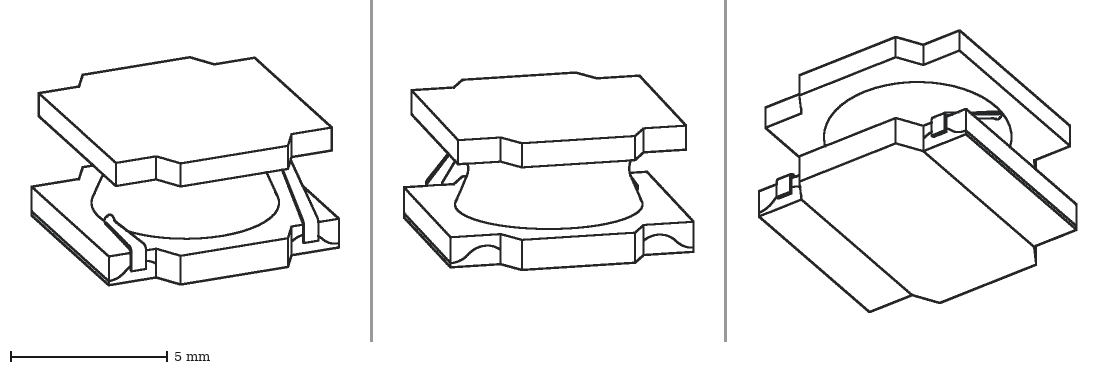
import cadquery as cq
import math

LENGTH = 8.0
LOWER_DEPTH = 8.0
UPPER_DEPTH = 7.5
HEIGHT = 4.2
LOWER_THICKNESS = 1.0
UPPER_THICKNESS = 0.8
HUB_DIAMETER = 4.0
END_WIDTH = 6.3
NOTCH_Y = 2.35
NOTCH_ANGLE = 30.0

WINDOW_BOTTOM = LOWER_THICKNESS
WINDOW_TOP = HEIGHT - UPPER_THICKNESS
WINDOW_MIDDLE = (WINDOW_BOTTOM + WINDOW_TOP) / 2
END_HALF = END_WIDTH / 2

COIL_DIAMETER = 4.8
RESIN_RIM_DIAMETER = 6.0
RESIN_SEAM_DIAMETER = 5.31
RESIN_WAIST_DIAMETER = 5.16
WAIST_HEIGHT = 0.76

PAD_EDGE_HEIGHT = 0.14
PAD_PEAK_HEIGHT = 0.65
PAD_PEAK_Y = 2.84

TAIL_Y = 2.99
WIRE_WIDTH = 0.32
WIRE_THICKNESS = 0.22
STRIP_WIDTH = 0.5
STRIP_THICKNESS = 0.1
STRIP_END_Z = 0.4
FOLD_INNER_RADIUS = 0.1
FRONT_ROOT_X = 0.92
BACK_ROOT_X = 0.0
ROOT_BEND_RADIUS = 0.4
ROOT_LEAD = 0.4
BACK_ROOT_Z = 3.06

FOLD_RADIUS = FOLD_INNER_RADIUS + STRIP_THICKNESS / 2
FOLD_X = END_HALF - FOLD_INNER_RADIUS
FRONT_ROOT_Z = LOWER_THICKNESS + FOLD_RADIUS


def make_flange(depth, bottom, thickness):
    """Plate with a notch with one sloping side at each corner."""
    half_length = LENGTH / 2
    half_depth = depth / 2
    slope_drop = (half_length - END_HALF) * math.tan(math.radians(NOTCH_ANGLE))
    wing_y = NOTCH_Y - slope_drop
    quarter = [(END_HALF, half_depth), (END_HALF, NOTCH_Y), (half_length, wing_y)]
    right = quarter + [(x, -y) for x, y in reversed(quarter)]
    left = [(-x, -y) for x, y in right]
    return cq.Workplane("XY", origin=(0, 0, bottom)).polyline(right + left).close().extrude(thickness)


def make_ring_blank(diameter):
    """Disc that fills the height of the winding window."""
    height = WINDOW_TOP - WINDOW_BOTTOM
    return cq.Workplane("XY", origin=(0, 0, WINDOW_BOTTOM)).circle(diameter / 2).extrude(height)


def make_terminal(side):
    """Pad under the lower flange on the side (+1 or -1) along Y."""
    edge_y = LOWER_DEPTH / 2
    rise = PAD_PEAK_HEIGHT - PAD_EDGE_HEIGHT
    run = edge_y - PAD_PEAK_Y
    radius = (run ** 2 + rise ** 2) / (4 * rise)
    half_sweep = math.asin(run / 2 / radius) / 2
    step_y = radius * math.sin(half_sweep)
    step_z = radius * (1 - math.cos(half_sweep))
    inner_z = PAD_PEAK_HEIGHT - radius + math.sqrt(radius ** 2 - (PAD_PEAK_Y - NOTCH_Y) ** 2)

    def point(y, z):
        return (side * y, z)

    return (
        cq.Workplane("YZ", origin=(-END_HALF, 0, 0))
        .moveTo(*point(NOTCH_Y, 0))
        .lineTo(*point(edge_y, 0))
        .lineTo(*point(edge_y, PAD_EDGE_HEIGHT))
        .threePointArc(
            point(edge_y - step_y, PAD_EDGE_HEIGHT + step_z),
            point(edge_y - run / 2, PAD_EDGE_HEIGHT + rise / 2),
        )
        .threePointArc(
            point(PAD_PEAK_Y + step_y, PAD_PEAK_HEIGHT - step_z),
            point(NOTCH_Y, inner_z),
        )
        .close()
        .extrude(END_WIDTH)
    )


def wire_section(plane):
    """Oval outline of the wire before it is flattened."""
    return cq.Workplane(plane).ellipse(WIRE_WIDTH / 2, WIRE_THICKNESS / 2)


def make_tail(side, root_x, root_z):
    """Wire end from the coil to the strip folded down the +X face, at side * TAIL_Y."""
    tail_y = side * TAIL_Y
    run_x = FOLD_X - root_x
    run_z = root_z - LOWER_THICKNESS
    reach = math.hypot(run_x, run_z)
    dip = math.atan2(run_z, run_x) - math.asin(FOLD_RADIUS / reach)
    run_length = math.sqrt(reach ** 2 - FOLD_RADIUS ** 2)
    direction = cq.Vector(math.cos(dip), 0, -math.sin(dip))
    inward = cq.Vector(0, -side, 0)

    root = cq.Vector(root_x, tail_y, root_z)
    root_plane = cq.Plane(origin=root, xDir=inward, normal=direction)

    straight = (
        wire_section(root_plane)
        .workplane(offset=run_length)
        .rect(STRIP_WIDTH, STRIP_THICKNESS)
        .loft(combine=True)
    )
    bend = wire_section(root_plane).revolve(90, (ROOT_BEND_RADIUS, 0, 0), (ROOT_BEND_RADIUS, -1, 0))
    bend_end = root + (inward - direction) * ROOT_BEND_RADIUS
    lead_plane = cq.Plane(origin=bend_end, xDir=direction, normal=inward)
    lead = wire_section(lead_plane).extrude(ROOT_LEAD)

    fold_start = root + direction * run_length
    fold_sweep = 90 - math.degrees(dip)
    fold = (
        cq.Workplane(cq.Plane(origin=fold_start, xDir=(0, 1, 0), normal=direction))
        .rect(STRIP_WIDTH, STRIP_THICKNESS)
        .revolve(fold_sweep, (0, -FOLD_RADIUS, 0), (1, -FOLD_RADIUS, 0))
    )
    strip = (
        cq.Workplane("XY", origin=(END_HALF + STRIP_THICKNESS / 2, tail_y, STRIP_END_Z))
        .rect(STRIP_THICKNESS, STRIP_WIDTH)
        .extrude(LOWER_THICKNESS - STRIP_END_Z)
    )
    return straight.union(bend).union(lead).union(fold).union(strip)


def make_coil():
    """Ring of wire around the hub, with its two tails."""
    ring = make_ring_blank(COIL_DIAMETER).cut(make_ring_blank(HUB_DIAMETER))
    front_tail = make_tail(-1, FRONT_ROOT_X, FRONT_ROOT_Z)
    back_tail = make_tail(1, BACK_ROOT_X, BACK_ROOT_Z)
    return ring.union(front_tail).union(back_tail)


def make_resin(coil):
    """Waisted filling around the coil, with openings for the tails."""
    seam_low = WINDOW_MIDDLE - WAIST_HEIGHT / 2
    seam_high = WINDOW_MIDDLE + WAIST_HEIGHT / 2
    rim_radius = RESIN_RIM_DIAMETER / 2
    seam_radius = RESIN_SEAM_DIAMETER / 2
    waisted = (
        cq.Workplane("XZ")
        .moveTo(0, WINDOW_BOTTOM)
        .lineTo(rim_radius, WINDOW_BOTTOM)
        .lineTo(seam_radius, seam_low)
        .threePointArc((RESIN_WAIST_DIAMETER / 2, WINDOW_MIDDLE), (seam_radius, seam_high))
        .lineTo(rim_radius, WINDOW_TOP)
        .lineTo(0, WINDOW_TOP)
        .close()
        .revolve(360, (0, 0, 0), (0, 1, 0))
    )
    return waisted.cut(make_ring_blank(COIL_DIAMETER)).cut(coil)


def make_core(terminals):
    """Drum core with recesses for the terminals."""
    core = (
        make_flange(LOWER_DEPTH, 0, LOWER_THICKNESS)
        .union(make_ring_blank(HUB_DIAMETER))
        .union(make_flange(UPPER_DEPTH, WINDOW_TOP, UPPER_THICKNESS))
    )
    for terminal in terminals:
        core = core.cut(terminal)
    return core


terminals = [make_terminal(side) for side in (-1, 1)]
core = make_core(terminals)
coil = make_coil()
resin = make_resin(coil)

bodies = [core, coil, resin, *terminals]
result = cq.Compound.makeCompound([body.solids().val() for body in bodies])